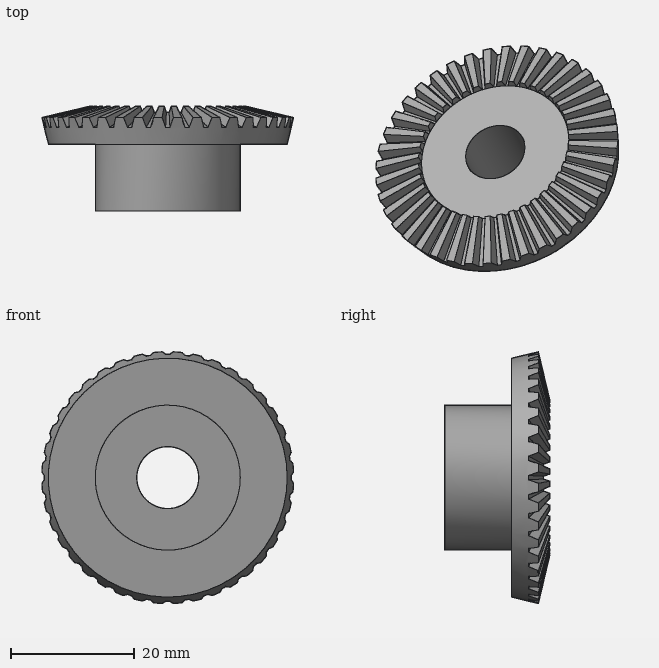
import cadquery as cq
import math

overall_diameter = 40.75
overall_length = 17.0
hub_length = 10.8
hub_diameter = 23.48
bore_diameter = 10.0
tooth_count = 40
back_cone_angle = 13.8
tip_height = 4.35
root_height = 2.77
small_end_scale = 0.62
gap_tip_width = 1.85
gap_root_width = 0.7

cutter_outer_scale = 1.1
cutter_inner_scale = 0.55
cutter_top_margin = 0.4

tip_radius = math.hypot(overall_diameter / 2, gap_tip_width / 2)
slant_sin = math.sin(math.radians(back_cone_angle))
slant_cos = math.cos(math.radians(back_cone_angle))
slant_slope = slant_sin / slant_cos
back_radius = tip_radius - tip_height * slant_slope
root_radius = back_radius + root_height * slant_slope
tooth_depth = (tip_height - root_height) / slant_cos
crown_height = overall_length - hub_length
apex_height = tip_height + (crown_height - tip_height) / (1 - small_end_scale)


def toward_apex(radius, height, scale):
    """Scale a (radius, height) position about the common apex of the teeth."""
    return radius * scale, apex_height + (height - apex_height) * scale


def make_blank():
    """Gear blank with hub, bore and flat recess inside the teeth, revolved about Y."""
    bore_radius = bore_diameter / 2
    hub_radius = hub_diameter / 2
    small_end_tip = toward_apex(tip_radius, tip_height, small_end_scale)
    small_end_root = toward_apex(root_radius, root_height, small_end_scale)
    recess_height = small_end_root[1]
    profile = [
        (bore_radius, -hub_length),
        (hub_radius, -hub_length),
        (hub_radius, 0),
        (back_radius, 0),
        (tip_radius, tip_height),
        small_end_tip,
        small_end_root,
        (bore_radius, recess_height),
    ]
    return cq.Workplane("XY").polyline(profile).close().revolve(360, (0, 0, 0), (0, 1, 0))


def gap_section(scale):
    """Trapezoid outline of the gap on +X, scaled about the apex."""
    flank_slope = (gap_tip_width - gap_root_width) / 2 / tooth_depth
    depth = tooth_depth + cutter_top_margin
    root_half = gap_root_width / 2
    top_half = root_half + flank_slope * depth
    top_radius = root_radius + depth * slant_sin
    top_height = root_height + depth * slant_cos
    root = toward_apex(root_radius, root_height, scale)
    top = toward_apex(top_radius, top_height, scale)
    corners = [
        cq.Vector(*root, -root_half * scale),
        cq.Vector(*root, root_half * scale),
        cq.Vector(*top, top_half * scale),
        cq.Vector(*top, -top_half * scale),
    ]
    return cq.Wire.makePolygon(corners, close=True)


def make_gap_cutters():
    """Tapered cutters for all the tooth gaps, the first one on +X."""
    sections = [gap_section(cutter_inner_scale), gap_section(cutter_outer_scale)]
    cutter = cq.Solid.makeLoft(sections, True)
    axis_start = cq.Vector(0, 0, 0)
    axis_end = cq.Vector(0, 1, 0)
    pitch_angle = 360 / tooth_count
    return [cutter.rotate(axis_start, axis_end, i * pitch_angle) for i in range(tooth_count)]


result = cq.Workplane(make_blank().val().cut(*make_gap_cutters()))